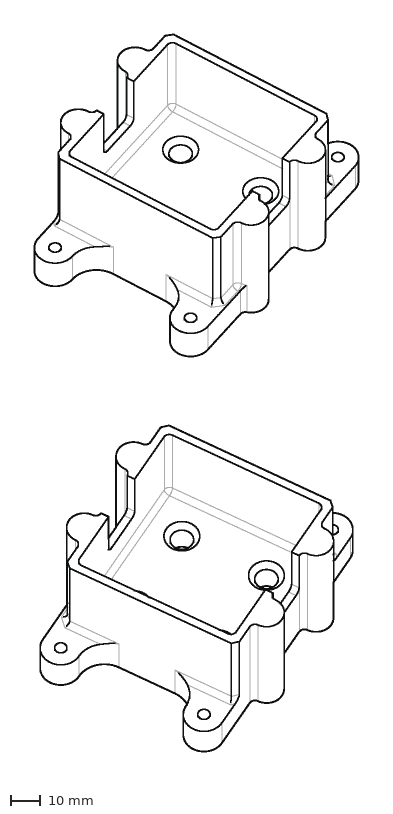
import cadquery as cq
import math

overall_x = 83.0
overall_y = 102.0
box_x = 67.0
box_y = 68.0
height = 45.0
wall = 3.0
blend = 2.0

foot_height = 11.9
foot_radius = 7.0
foot_blend = 1.99
foot_hole = 4.2
foot_y = overall_y / 2 - foot_radius
foot_sweep = foot_y - box_y / 2
left_foot_x = -box_x / 2 + foot_radius
right_foot_x = 29.3

boss_x = box_x / 2 + blend
boss_radius = overall_x / 2 - boss_x
boss_y = 16.9

slot_bottom = 24.1
slot_width = 2 * (boss_y - boss_radius - blend)
floor_hole = 8.0
floor_hole_top = 12.1
floor_hole_angle = 90
floor_hole_pitch = 32.9


def make_box():
    return cq.Workplane("XY").box(box_x, box_y, height, (True, True, False)).edges("|Z").chamfer(blend)


def make_bosses():
    """Full-height round bosses on both sides, each with a neck flared onto the wall."""
    bosses = cq.Workplane("XY")
    half_neck = boss_radius + blend
    for side in (-1, 1):
        for y in (-boss_y, boss_y):
            wall_x = side * box_x / 2
            inner_x = wall_x - side * wall
            tip_x = side * boss_x
            inset = blend * (1 - math.sqrt(0.5))
            neck_x = wall_x + side * inset
            neck_y = half_neck - blend + inset
            boss = (
                cq.Workplane("XY")
                .moveTo(inner_x, y - half_neck)
                .lineTo(wall_x, y - half_neck)
                .threePointArc((neck_x, y - neck_y), (tip_x, y - boss_radius))
                .threePointArc((tip_x + side * boss_radius, y), (tip_x, y + boss_radius))
                .threePointArc((neck_x, y + neck_y), (wall_x, y + half_neck))
                .lineTo(inner_x, y + half_neck)
                .close()
                .extrude(height)
            )
            bosses = bosses.add(boss)
    return bosses.combine()


def make_foot(x, outward, end):
    """Foot outline centred at x, raised to the top of its blend.

    outward is the X direction of its straight side and end its Y direction.
    """
    outer_x = x + outward * foot_radius
    inner_x = x - outward * foot_radius
    sweep_x = inner_x - outward * foot_sweep
    wall_y = end * box_y / 2
    inset = foot_sweep * (1 - math.sqrt(0.5))
    root_y = end * boss_y
    return (
        cq.Workplane("XY")
        .moveTo(outer_x, root_y)
        .lineTo(outer_x, end * foot_y)
        .threePointArc((x, end * overall_y / 2), (inner_x, end * foot_y))
        .threePointArc((inner_x - outward * inset, wall_y + end * inset), (sweep_x, wall_y))
        .lineTo(sweep_x, root_y)
        .close()
        .extrude(foot_height + foot_blend)
    )


def make_cavity():
    return (
        cq.Workplane("XY", origin=(0, 0, foot_height))
        .box(box_x - 2 * wall, box_y - 2 * wall, height, (True, True, False))
        .edges("|Z or <Z")
        .fillet(blend)
    )


def make_slot():
    return (
        cq.Workplane("XY", origin=(0, 0, slot_bottom))
        .box(2 * box_x, slot_width, height, (True, True, False))
        .edges("|X and <Z")
        .fillet(blend)
    )


def make_foot_gusset(end):
    """Concave vertical blend between a right foot's straight side and the boss beside it."""
    side_x = right_foot_x + foot_radius
    center_x = side_x + blend
    reach = boss_radius + blend
    center_y = boss_y + math.sqrt(reach ** 2 - (center_x - boss_x) ** 2)
    boss_share = boss_radius / reach
    tangent_x = boss_x + (center_x - boss_x) * boss_share
    tangent_y = boss_y + (center_y - boss_y) * boss_share
    middle_angle = (math.pi + math.atan2(boss_y - center_y, boss_x - center_x) % (2 * math.pi)) / 2
    middle_x = center_x + blend * math.cos(middle_angle)
    middle_y = center_y + blend * math.sin(middle_angle)
    return (
        cq.Workplane("XY")
        .moveTo(side_x, end * center_y)
        .threePointArc((middle_x, end * middle_y), (tangent_x, end * tangent_y))
        .lineTo(boss_x, end * boss_y)
        .lineTo(boss_x, end * center_y)
        .close()
        .extrude(foot_height + foot_blend)
    )


def make_blended_body():
    """Housing with its feet; the feet are cut from a plate blended all round the housing."""
    housing = make_box().union(make_bosses())
    feet = cq.Workplane("XY")
    for end in (-1, 1):
        feet = feet.add(make_foot(left_foot_x, -1, end))
        feet = feet.add(make_foot(right_foot_x, 1, end))
        feet = feet.add(make_foot_gusset(end))
    feet = feet.combine()

    plate = cq.Workplane("XY").box(4 * overall_x, 4 * overall_y, foot_height, (True, True, False))
    margin = 0.1
    junction = cq.selectors.BoxSelector(
        (-overall_x, -box_y, foot_height - margin),
        (overall_x, box_y, foot_height + margin),
    )
    blended = plate.union(housing).edges(junction).fillet(foot_blend)
    return housing.union(blended.intersect(feet))


def cut_holes(body):
    feet = [(x, y) for x in (left_foot_x, right_foot_x) for y in (-foot_y, foot_y)]
    foot_drills = cq.Workplane("XY").pushPoints(feet).circle(foot_hole / 2).extrude(height)
    body = body.cut(foot_drills)
    return (
        body.copyWorkplane(cq.Workplane("XY", origin=(0, 0, foot_height)))
        .rarray(floor_hole_pitch, floor_hole_pitch, 2, 2)
        .cskHole(floor_hole, floor_hole_top, floor_hole_angle)
    )


result = make_blended_body().cut(make_cavity()).cut(make_slot())
result = cut_holes(result)